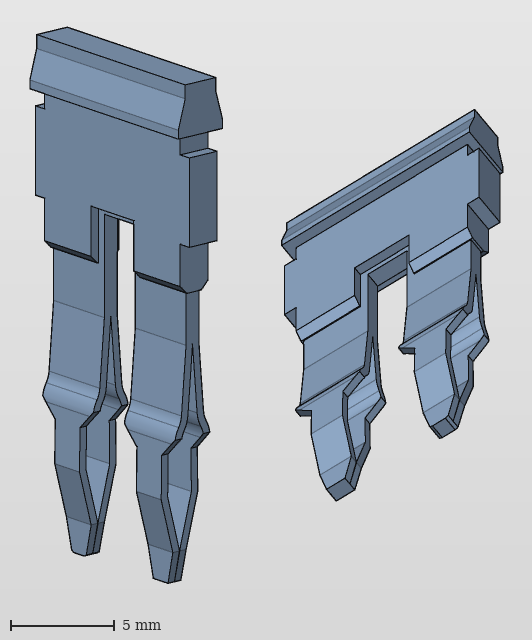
import cadquery as cq
import math


rib_half_width = 5.55
rib_top_half_thickness = 0.97
rib_lip_half_thickness = 1.4
rib_taper_start_z = -0.7
rib_taper_end_z = -2.2
rib_bottom_z = -2.65

plate_half_width = 5.07
plate_half_thickness = 0.88
plate_bottom_z = -10.7
plate_bevel = 0.42
shoulder_half_width = 5.75
shoulder_top_z = -3.65
shoulder_bottom_z = -8.15
housing_slot_half_width = 1.6
housing_slot_top_z = -7.75

strip_thickness = 0.41
leg_pitch = 6.1
leg_width = 3.8
neck_width = 1.86
bridge_bottom_z = shoulder_bottom_z
bridge_top_z = bridge_bottom_z + leg_width
neck_start_z = -18.0
neck_end_z = neck_start_z - (leg_width - neck_width) / 2
tip_width = 1.1
tip_bottom_z = -25.7
tip_height_difference = 0.06
tip_corner_width = 0.17
tip_corner_height = 0.1

split_z = -13.35
flare_start_z = -16.85
flare_middle_z = -17.4
flare_end_z = -18.25
belly_z = -21.2
tip_start_z = -24.0

upper_lean = math.radians(4.7)
flare_lean = math.radians(31)
belly_lean = math.radians(0.8)
closing_lean = math.radians(-14.7)
tip_lean = math.radians(-0.5)


def line_end(start, lean, end_z):
    """End point of a straight stretch running down from start to end_z."""
    y, z = start
    return (y + (z - end_z) * math.tan(lean), end_z)


def arc_point(start, start_lean, end_lean, end_z, lean):
    """Point with the given lean on an arc from start to end_z whose lean changes steadily."""
    y, z = start
    radius = (z - end_z) / (math.sin(end_lean) - math.sin(start_lean))
    return (
        y + radius * (math.cos(start_lean) - math.cos(lean)),
        z - radius * (math.sin(lean) - math.sin(start_lean)),
    )


def inner_point(outer, lean_above, lean_below):
    """Point across the strip from an outer point, mitred where the lean jumps."""
    mean_lean = (lean_above + lean_below) / 2
    depth = strip_thickness / math.cos((lean_above - lean_below) / 2)
    return (outer[0] - depth * math.cos(mean_lean), outer[1] - depth * math.sin(mean_lean))


def strip_half():
    """Side profile of the +Y half of the comb, extruded across its whole width."""
    mid_flare_in = (upper_lean + flare_lean) / 2
    mid_flare_out = (flare_lean + belly_lean) / 2

    split = (strip_thickness, split_z)
    flare_start = line_end(split, upper_lean, flare_start_z)
    flare_in = arc_point(flare_start, upper_lean, flare_lean, flare_middle_z, mid_flare_in)
    flare_middle = arc_point(flare_start, upper_lean, flare_lean, flare_middle_z, flare_lean)
    flare_out = arc_point(flare_middle, flare_lean, belly_lean, flare_end_z, mid_flare_out)
    flare_end = arc_point(flare_middle, flare_lean, belly_lean, flare_end_z, belly_lean)
    belly = line_end(flare_end, belly_lean, belly_z)
    tip_start = line_end(belly, closing_lean, tip_start_z)
    tip_end = line_end(tip_start, tip_lean, tip_bottom_z)

    inner_tip_start = inner_point(tip_start, closing_lean, tip_lean)
    inner_tip_end = line_end(inner_tip_start, tip_lean, tip_bottom_z)
    inner_split_z = split_z - strip_thickness * math.tan(upper_lean / 2)

    return (
        cq.Workplane("YZ")
        .moveTo(0, bridge_top_z)
        .lineTo(strip_thickness, bridge_top_z)
        .lineTo(*split)
        .lineTo(*flare_start)
        .threePointArc(flare_in, flare_middle)
        .threePointArc(flare_out, flare_end)
        .lineTo(*belly)
        .lineTo(*tip_start)
        .lineTo(*tip_end)
        .lineTo(*inner_tip_end)
        .lineTo(*inner_tip_start)
        .lineTo(*inner_point(belly, belly_lean, closing_lean))
        .lineTo(*inner_point(flare_end, belly_lean, belly_lean))
        .threePointArc(
            inner_point(flare_out, mid_flare_out, mid_flare_out),
            inner_point(flare_middle, flare_lean, flare_lean),
        )
        .threePointArc(
            inner_point(flare_in, mid_flare_in, mid_flare_in),
            inner_point(flare_start, upper_lean, upper_lean),
        )
        .lineTo(0, inner_split_z)
        .close()
        .extrude(shoulder_half_width, both=True)
    )


def plan_block(points):
    """Prism through the whole thickness, from an outline in X and Z."""
    return cq.Workplane("XZ").polyline(points).close().extrude(rib_lip_half_thickness, both=True)


def leg_plan(side):
    """Front outline of one leg: wide arm, 45 degree neck, narrow blade and tapered tip."""
    centre_x = side * leg_pitch / 2
    half_outline = [
        (leg_width / 2, bridge_top_z),
        (leg_width / 2, neck_start_z),
        (neck_width / 2, neck_end_z),
        (neck_width / 2, tip_start_z),
    ]
    if side < 0:
        half_outline.append((tip_width / 2, tip_bottom_z + tip_corner_height))
        half_outline.append((tip_width / 2 - tip_corner_width, tip_bottom_z))
    else:
        half_outline.append((tip_width / 2, tip_bottom_z + tip_height_difference))
    right_edge = [(centre_x + x, z) for x, z in half_outline]
    left_edge = [(centre_x - x, z) for x, z in reversed(half_outline)]
    return plan_block(right_edge + left_edge)


def make_comb():
    bridge_half_width = (leg_pitch + leg_width) / 2
    plan = plan_block([
        (-bridge_half_width, bridge_bottom_z),
        (bridge_half_width, bridge_bottom_z),
        (bridge_half_width, bridge_top_z),
        (-bridge_half_width, bridge_top_z),
    ])
    for side in (-1, 1):
        plan = plan.union(leg_plan(side))
    half = strip_half()
    profile = half.union(half.mirror("XZ"))
    return plan.intersect(profile).clean()


def make_rib():
    """Handle rib, widening downward to a lip."""
    half_outline = [
        (rib_top_half_thickness, 0),
        (rib_top_half_thickness, rib_taper_start_z),
        (rib_lip_half_thickness, rib_taper_end_z),
        (rib_lip_half_thickness, rib_bottom_z),
    ]
    mirrored = [(-y, z) for y, z in reversed(half_outline)]
    return cq.Workplane("YZ").polyline(half_outline + mirrored).close().extrude(rib_half_width, both=True)


def make_plate():
    """Plate with side shoulders, a slot between the legs and a bevelled lower edge."""
    half_outline = [
        (plate_half_width, rib_bottom_z),
        (plate_half_width, shoulder_top_z),
        (shoulder_half_width, shoulder_top_z),
        (shoulder_half_width, shoulder_bottom_z),
        (plate_half_width, shoulder_bottom_z),
        (plate_half_width, plate_bottom_z),
        (housing_slot_half_width, plate_bottom_z),
        (housing_slot_half_width, housing_slot_top_z),
    ]
    front = plan_block(half_outline + [(-x, z) for x, z in reversed(half_outline)])

    side_outline = [
        (plate_half_thickness, rib_bottom_z),
        (plate_half_thickness, plate_bottom_z + plate_bevel),
        (plate_half_thickness - plate_bevel, plate_bottom_z),
    ]
    mirrored = [(-y, z) for y, z in reversed(side_outline)]
    side = cq.Workplane("YZ").polyline(side_outline + mirrored).close().extrude(shoulder_half_width, both=True)
    return front.intersect(side)


comb = make_comb()
housing = make_rib().union(make_plate()).cut(comb)

result = cq.Compound.makeCompound([housing.val(), comb.val()])